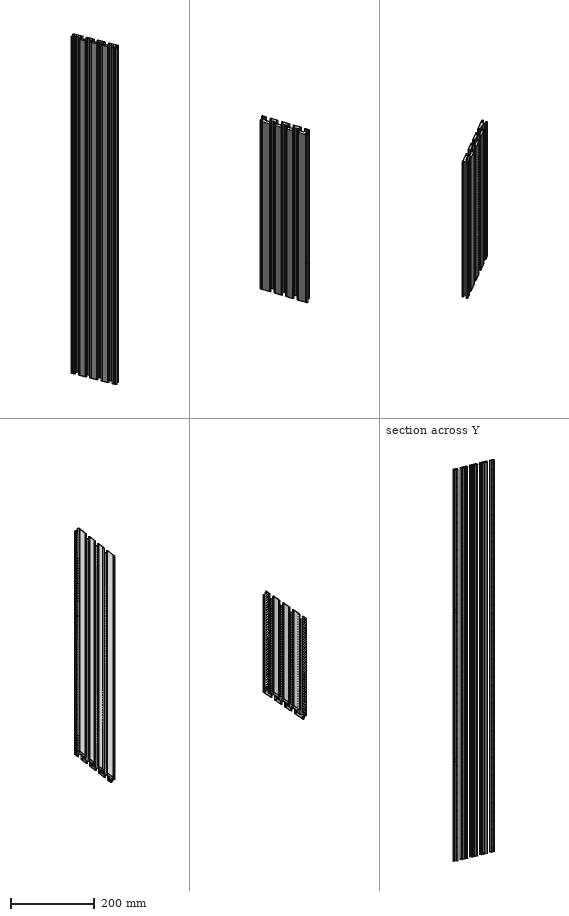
import cadquery as cq

length = 1000.0
width = 120.0
thickness = 15.0
corner_radius = 2.0

slot_count = 7
slot_pitch = 14.5
recess_width = 10.0
recess_depth = 1.0
mouth_width = 8.0
lip_depth = 2.0
cavity_width = 16.0
wall_depth = 5.0
floor_width = 9.0
floor_depth = 9.0

vee_width = 1.6
vee_depth = 0.4

side_mouth_width = 6.0
side_lip_depth = 3.0
side_cavity_width = 11.0
side_slot_depth = 6.0


def extrude_outline(points):
    """Full-length prism with the given outline in the XY plane."""
    return cq.Workplane("XY").polyline(points).close().extrude(length)


def with_mirror(half_section):
    """Complete a symmetric slot section from its (half width, depth) points."""
    return half_section + [(-half, depth) for half, depth in reversed(half_section)]


def bar():
    """Solid bar with rounded long corners."""
    block = cq.Workplane("XY").rect(width, thickness).extrude(length)
    return block.edges("|Z").fillet(corner_radius)


def face_slot(center_x, side):
    """Tapered T-slot on the back face (side = 1) or the front face (side = -1)."""
    section = with_mirror([
        (recess_width / 2, 0),
        (recess_width / 2, recess_depth),
        (mouth_width / 2, recess_depth),
        (mouth_width / 2, lip_depth),
        (cavity_width / 2, lip_depth),
        (cavity_width / 2, wall_depth),
        (floor_width / 2, floor_depth),
    ])
    vee = [
        (-vee_width / 2, floor_depth),
        (0, floor_depth + vee_depth),
        (vee_width / 2, floor_depth),
    ]
    middle = len(section) // 2
    outline = section[:middle] + vee[::-1] + section[middle:]
    return extrude_outline(
        [(center_x + across, side * (thickness / 2 - depth)) for across, depth in outline]
    )


def side_slot(side):
    """Square T-slot on the +X side (side = 1) or the -X side (side = -1)."""
    section = with_mirror([
        (side_mouth_width / 2, 0),
        (side_mouth_width / 2, side_lip_depth),
        (side_cavity_width / 2, side_lip_depth),
        (side_cavity_width / 2, side_slot_depth),
    ])
    return extrude_outline([(side * (width / 2 - depth), across) for across, depth in section])


result = bar()

for index in range(slot_count):
    slot_x = (index - (slot_count - 1) / 2) * slot_pitch
    slot_side = -1 if index % 2 == 0 else 1
    result = result.cut(face_slot(slot_x, slot_side))

for slot_side in (-1, 1):
    result = result.cut(side_slot(slot_side))